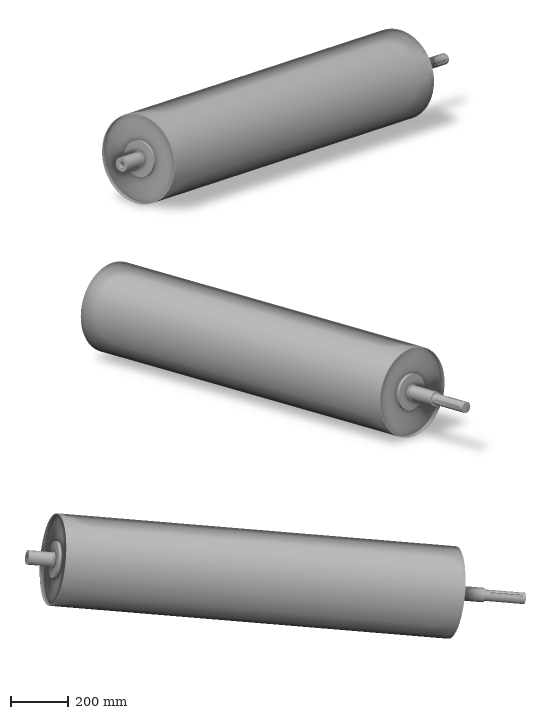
import cadquery as cq

drum_diameter = 324.0
rim_inner_diameter = 319.0
drum_front = -810.0
drum_back = 643.0
end_recess = 15.0

hub_diameter = 130.0
hub_height = 13.0

shaft_front = -905.0
shaft_back = 905.0
shaft_diameter = 50.0
collar_diameter = 56.0
collar_projection = 5.0
journal_diameter = 40.0
journal_length = 148.0

key_width = 13.0
key_depth = 5.0
key_length = 120.0
key_end_gap = 13.0

bore_diameter = 13.8
bore_depth = 45.0
counterbore_diameter = 17.0
counterbore_depth = 5.0
countersink_diameter = 25.0
countersink_depth = 2.0


def rod(diameter, start, end):
    """Cylinder on the Y axis between two Y positions."""
    return cq.Workplane("XZ", origin=(0, start, 0)).circle(diameter / 2).extrude(start - end)


def make_drum():
    plate_front = drum_front + end_recess
    plate_back = drum_back - end_recess
    drum = rod(drum_diameter, drum_front, drum_back)
    drum = drum.cut(rod(rim_inner_diameter, drum_front, plate_front))
    drum = drum.cut(rod(rim_inner_diameter, plate_back, drum_back))
    return drum.union(rod(hub_diameter, plate_front - hub_height, plate_back + hub_height))


def make_shaft():
    journal_start = shaft_back - journal_length
    shaft = rod(shaft_diameter, shaft_front, journal_start)
    shaft = shaft.union(rod(journal_diameter, journal_start, shaft_back))
    return shaft.union(rod(collar_diameter, drum_front - collar_projection, drum_back + collar_projection))


def make_keyway():
    key_floor = journal_diameter / 2 - key_depth
    key_centre = shaft_back - key_end_gap - key_length / 2
    return (
        cq.Workplane("YZ", origin=(key_floor, key_centre, 0))
        .slot2D(key_length, key_width)
        .extrude(journal_diameter)
    )


def make_centre_hole():
    bore_radius = bore_diameter / 2
    counterbore_radius = counterbore_diameter / 2
    countersink_end = shaft_front + countersink_depth
    counterbore_end = shaft_front + counterbore_depth
    bore_end = shaft_front + bore_depth
    half_section = [
        (0, shaft_front),
        (countersink_diameter / 2, shaft_front),
        (counterbore_radius, countersink_end),
        (counterbore_radius, counterbore_end),
        (bore_radius, counterbore_end),
        (bore_radius, bore_end),
        (0, bore_end),
    ]
    return cq.Workplane("XY").polyline(half_section).close().revolve(360, (0, 0), (0, 1))


result = make_drum().union(make_shaft()).cut(make_keyway()).cut(make_centre_hole())